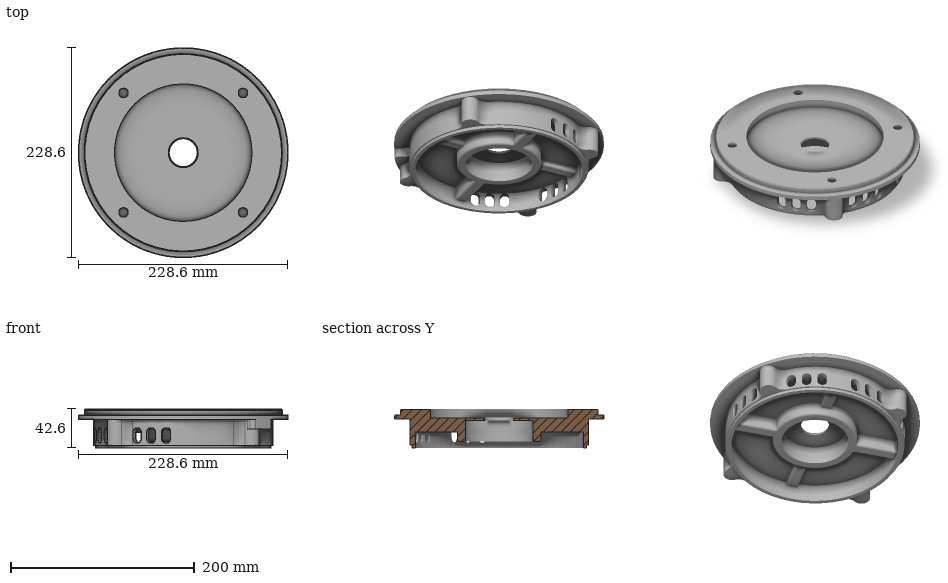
import cadquery as cq
import math

total_height = 42.55
cap_height = 6.35
flange_thickness = 4.76
lip_height = 3.18
plate_thickness = 12.7
flange_bottom = -(cap_height + flange_thickness)
housing_bottom = -total_height + lip_height

flange_radius = 114.3
cap_radius = 107.95
housing_radius = 97.6
lip_radius = 95.6
cavity_radius = 91.3
flange_edge_chamfer = 0.4
cap_chamfer_width = 0.8
cap_chamfer_height = 1.4

recess_radius = 74.9
recess_depth = 9.53
bore_radius = 15.3
bore_chamfer = 1.0

tube_outer_radius = 46.0
tube_inner_radius = 36.5
tube_bottom = -35.3
ceiling = -20.3
rib_thickness = 12.7
shallow_rib_bottom = -25.4
core_fillet = 2.3

lobe_centre_radius = 103.4
lobe_radius = 9.53
blend_radius = 10.8
lobe_angles = (45, 135, 225, 315)

hole_offset = 65.1
hole_diameter = 10.3
hole_depth = 9.53

slot_width = 10.32
slot_height = 16.67
slot_centre_z = -28.58
slot_first_angle = 11.1
slot_pitch = 10.0
slots_per_group = 3

pad_angle = -30.0
pad_offset = 18.9
pad_width = 34.5
pad_height = 10.3
pad_corner_radius = 5.2


def polar(radius, degrees):
    """Point at a radius and an angle around the Z axis."""
    angle = math.radians(degrees)
    return (radius * math.cos(angle), radius * math.sin(angle))


def disc(radius, bottom, top):
    """Solid cylinder on the Z axis between two heights."""
    return cq.Workplane("XY").workplane(offset=bottom).circle(radius).extrude(top - bottom)


def cosine_rule_angle(side_a, side_b, opposite):
    """Angle in degrees between two triangle sides, from the side opposite it."""
    return math.degrees(math.acos((side_a**2 + side_b**2 - opposite**2) / (2 * side_a * side_b)))


blend_centre_radius = housing_radius + blend_radius
blend_half_angle = cosine_rule_angle(
    lobe_centre_radius, blend_centre_radius, lobe_radius + blend_radius
)


def lobe(angle):
    """Lobe outline with a concave blend on each side, down the housing height."""
    lobe_centre = cq.Vector(*polar(lobe_centre_radius, angle))

    def blend_points(side):
        blend_angle = angle + side * blend_half_angle
        blend_centre = cq.Vector(*polar(blend_centre_radius, blend_angle))
        root = cq.Vector(*polar(housing_radius, blend_angle))
        towards_lobe = (lobe_centre - blend_centre).normalized()
        towards_root = (root - blend_centre).normalized()
        towards_middle = (towards_lobe + towards_root).normalized()
        middle = blend_centre + towards_middle * blend_radius
        tangent = blend_centre + towards_lobe * blend_radius
        return [point.toTuple()[:2] for point in (root, middle, tangent)]

    first_root, first_middle, first_tangent = blend_points(-1)
    second_root, second_middle, second_tangent = blend_points(1)
    return (
        cq.Workplane("XY")
        .workplane(offset=housing_bottom)
        .moveTo(*first_root)
        .threePointArc(first_middle, first_tangent)
        .threePointArc(polar(lobe_centre_radius + lobe_radius, angle), second_tangent)
        .threePointArc(second_middle, second_root)
        .lineTo(*polar(cavity_radius, angle + blend_half_angle))
        .lineTo(*polar(cavity_radius, angle - blend_half_angle))
        .close()
        .extrude(flange_bottom - housing_bottom)
    )


def make_pad():
    """Round-cornered pad whose outer face continues the flange edge."""
    pad_bottom = flange_bottom - pad_height
    inner_end = cavity_radius - pad_width / 2
    block = (
        cq.Workplane("XY", origin=(inner_end, -pad_offset, pad_bottom))
        .rect(flange_radius - inner_end, pad_width, centered=(False, True))
        .extrude(pad_height)
    )
    ring = disc(flange_radius, pad_bottom, flange_bottom)
    pad = block.intersect(ring).edges("|Z and (>Y or <Y)").fillet(pad_corner_radius)
    return pad.rotate((0, 0, 0), (0, 0, 1), pad_angle)


def make_body():
    """Cap, flange, housing and lip, lobes and pad, still solid inside."""
    cap_profile = (
        cq.Workplane("XZ")
        .moveTo(0, -cap_height)
        .lineTo(cap_radius, -cap_height)
        .lineTo(cap_radius, -cap_chamfer_height)
        .lineTo(cap_radius - cap_chamfer_width, 0)
        .lineTo(0, 0)
        .close()
    )
    cap = cap_profile.revolve(360, (0, 0, 0), (0, 1, 0))
    flange = disc(flange_radius, flange_bottom, -cap_height).faces(">Z").chamfer(flange_edge_chamfer)
    body = cap.union(flange)
    body = body.union(disc(housing_radius, housing_bottom, flange_bottom))
    body = body.union(disc(lip_radius, -total_height, housing_bottom))
    for angle in lobe_angles:
        body = body.union(lobe(angle))
    return body.union(make_pad())


def hollow_out(body):
    """Cavity from the lip up to the ceiling."""
    return body.cut(disc(cavity_radius, -total_height, ceiling))


def make_deep_core(wall_middle):
    """Tube and the two deep Y ribs, rounded along corners, ceiling and rims."""
    rib_length = 2 * wall_middle
    inner_box = cq.selectors.BoxSelector(
        (-cavity_radius, -cavity_radius, -total_height),
        (cavity_radius, cavity_radius, 0),
    )
    tube = disc(tube_outer_radius, tube_bottom, ceiling)
    ribs = (
        cq.Workplane("XY")
        .workplane(offset=tube_bottom)
        .rect(rib_thickness, rib_length)
        .extrude(ceiling - tube_bottom)
        .intersect(disc(wall_middle, tube_bottom, ceiling))
    )
    core = tube.union(ribs)
    core = core.edges("|Z").edges(inner_box).fillet(core_fillet)
    core = core.faces("<Z").edges(inner_box).fillet(core_fillet)
    core = core.union(disc(wall_middle, ceiling, flange_bottom))
    ceiling_joint = cq.selectors.BoxSelector(
        (-tube_outer_radius, -tube_outer_radius, ceiling - core_fillet / 2),
        (tube_outer_radius, tube_outer_radius, ceiling + core_fillet / 2),
    )
    return core.edges(ceiling_joint).fillet(core_fillet)


def make_shallow_ribs(wall_middle):
    """X ribs with a rounded bottom and roots that flare into the ceiling."""
    side = rib_thickness / 2
    root = side + core_fillet
    floor_edge = side - core_fillet
    root_bottom = ceiling - core_fillet
    floor_top = shallow_rib_bottom + core_fillet
    ribs = (
        cq.Workplane("YZ", origin=(-wall_middle, 0, 0))
        .moveTo(-root, ceiling)
        .radiusArc((-side, root_bottom), core_fillet)
        .lineTo(-side, floor_top)
        .radiusArc((-floor_edge, shallow_rib_bottom), -core_fillet)
        .lineTo(floor_edge, shallow_rib_bottom)
        .radiusArc((side, floor_top), -core_fillet)
        .lineTo(side, root_bottom)
        .radiusArc((root, ceiling), core_fillet)
        .close()
        .extrude(2 * wall_middle)
    )
    return ribs.intersect(disc(wall_middle, shallow_rib_bottom, ceiling))


def make_core():
    """Tube and ribs that hang from the ceiling and run into the housing wall."""
    wall_middle = (cavity_radius + lip_radius) / 2
    return make_deep_core(wall_middle).union(make_shallow_ribs(wall_middle))


def cut_recess_and_bore(body):
    """Top recess and the chamfered centre hole through its floor."""
    body = body.cut(disc(recess_radius, -recess_depth, 0))
    body = body.cut(disc(bore_radius, -plate_thickness, 0))
    body = body.cut(disc(tube_inner_radius, -total_height, -plate_thickness))
    countersink = cq.Solid.makeCone(
        bore_radius,
        bore_radius + bore_chamfer,
        bore_chamfer,
        pnt=cq.Vector(0, 0, -recess_depth - bore_chamfer),
    )
    return body.cut(cq.Workplane(countersink))


def cut_blind_holes(body):
    """Four blind holes in the top face."""
    holes = (
        cq.Workplane("XY")
        .rect(2 * hole_offset, 2 * hole_offset, forConstruction=True)
        .vertices()
        .circle(hole_diameter / 2)
        .extrude(-hole_depth)
    )
    return body.cut(holes)


def slot_cutter(angle):
    """Upright round-ended slot that passes radially through the housing wall."""
    slot_start_radius = math.sqrt(cavity_radius**2 - (slot_width / 2) ** 2)
    reach = housing_radius + slot_width / 2 - slot_start_radius
    return (
        cq.Workplane("YZ", origin=(slot_start_radius, 0, slot_centre_z))
        .slot2D(slot_height, slot_width, 90)
        .extrude(reach)
        .rotate((0, 0, 0), (0, 0, 1), angle)
    )


def cut_vent_slots(body):
    """Three slots to each side of the -X lobes."""
    for index in range(slots_per_group):
        step = slot_first_angle + index * slot_pitch
        for angle in (90 + step, 180 - step, 180 + step, 270 - step):
            body = body.cut(slot_cutter(angle))
    return body


result = hollow_out(make_body()).union(make_core())
result = cut_recess_and_bore(result)
result = cut_blind_holes(result)
result = cut_vent_slots(result)